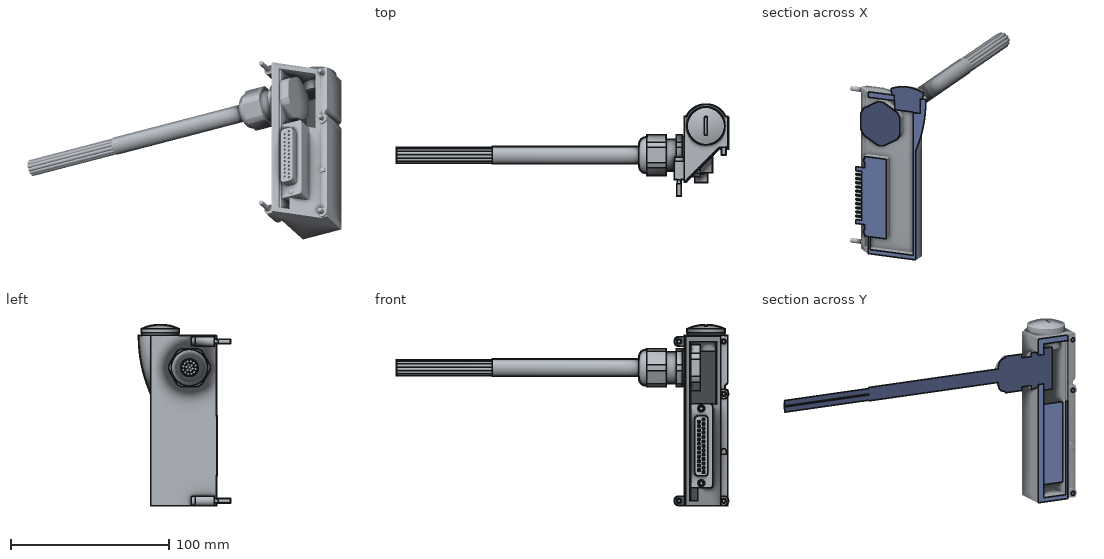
import cadquery as cq
import math


LEFT = 181.5
WIDTH = 27.7
RIGHT = LEFT + WIDTH
HEIGHT = 107.5
BACK = 24.5
FRONT = -17.2
NOSE_WIDTH = 1.0
STRIP_FRONT = 5.0
STRIP_LEFT = LEFT + NOSE_WIDTH + STRIP_FRONT - FRONT
TOP_CHAMFER = 0.6

BULGE_RADIUS = WIDTH / 2
BULGE_X = LEFT + BULGE_RADIUS
BULGE_Y = 18.5
BULGE_BEND_RADIUS = 91.5
BULGE_BEND_ANGLE = 26

SIDE_WALL = 4.2
SLANT_WALL = 1.3
BACK_WALL = 2.0
FLOOR = 3.1
ROOF = 4.0
CAVITY_LEFT = LEFT + SIDE_WALL
CAVITY_RIGHT = 201.6
WINDOW_MARGIN = 0.6
CAVITY_BACK = BACK - BACK_WALL
CAVITY_TOP = HEIGHT - ROOF
FLOOR_SLOT_WIDTH = 5.0

SEAT_RADIUS = 3.04
LOW_SCREW_Z = 3.1
MIDDLE_SCREW_Z = 70.6
HIGH_SCREW_Z = 103.7
SCREW_DIAMETER = 3.0
SCREW_NECK_DIAMETER = 2.5
SCREW_TIP_CHAMFER = 0.31

LUG_X = 178.4
LUG_FRONT = -15.5
LUG_BACK = -3.8
HEAD_DIAMETER = 5.7
HEAD_BACK = -1.3
HEAD_ROUND = 0.6
NECK_LENGTH = 2.5
LUG_SCREW_TIP = -26.0

SEAT_X = 209.5 - SEAT_RADIUS
SEAT_FRONT = STRIP_FRONT - 1.3
SEAT_BACK = BACK - 0.6
STRIP_SCREW_TIP = 0.0

NOTCH_DEPTH = 1.7
NOTCH_BOTTOM = 73.1
NOTCH_TOP = 75.9
KEY_WIDTH = 3.0
KEY_HEIGHT = 3.5
KEY_BOTTOM = 32.5
KEY_LENGTH = 1.0

THREAD_DIAMETER = 20.0
PLUG_BOTTOM = 97.7
PLUG_COLLAR_RADIUS = 11.7
PLUG_RIM_RADIUS = 12.05
PLUG_COLLAR_HEIGHT = 1.7
PLUG_RIM_HEIGHT = 2.5
PLUG_DOME_HEIGHT = 2.7
COIN_SLOT_WIDTH = 1.9
COIN_SLOT_LENGTH = 12.0
COIN_SLOT_DEPTH = 1.0

CABLE_Z = 87.2
DOME_START = 153.0
DOME_RADIUS = 11.5
DOME_ROUND = 4.8
CAP_HEX_START = 158.0
CAP_HEX_END = 170.2
BODY_HEX_START = 176.5
BODY_HEX_END = 180.5
GLAND_HEX_FLATS = 24.0
GLAND_HEX_CORNERS = 26.0
GLAND_NECK_DIAMETER = 20.3
GLAND_WASHER_DIAMETER = 23.7
LOCKNUT_FLATS = 27.2
LOCKNUT_CORNERS = 29.3
LOCKNUT_LENGTH = 6.0
SHEATH_START = 60.4
SHEATH_DIAMETER = 11.1
WIRE_DIAMETER = 2.3
WIRE_RING_STEP = 2.03
WIRES_PER_RING_STEP = 6
WIRE_RING_TURN = 12

FLANGE_WIDTH = 13.8
FLANGE_BOTTOM = 11.3
FLANGE_HEIGHT = 53.0
FLANGE_FRONT = -11.1
FLANGE_BACK = 4.2
FLANGE_ROUND = 1.5
SHELL_WIDTH = 8.4
SHELL_HEIGHT = 38.0
SHELL_ROUND = 2.3
SHELL_FRONT = -17.5
CONNECTOR_X = 192.5
CONNECTOR_Z = FLANGE_BOTTOM + FLANGE_HEIGHT / 2
FLANGE_TOP = FLANGE_BOTTOM + FLANGE_HEIGHT
CONTACT_DIAMETER = 1.6
CONTACT_DEPTH = 4.2
CONTACT_PITCH = 2.77
CONTACT_ROW_GAP = 3.0
LONG_ROW = 13
SHORT_ROW = 12
JACK_SPACING = 47.2
JACK_BASE_DIAMETER = 4.2
JACK_TOP_DIAMETER = 2.5
JACK_HEIGHT = 0.8


def box(x_range, y_range, z_range):
    """Block between two limits along each axis."""
    (x0, x1), (y0, y1), (z0, z1) = x_range, y_range, z_range
    return cq.Workplane("XY").box(x1 - x0, y1 - y0, z1 - z0, centered=False).translate((x0, y0, z0))


def facing_front(y):
    """Sketch plane at depth y that extrudes toward -Y; its local axes are X and Z."""
    return cq.Workplane("XZ", origin=(0, y, 0))


def rod_along_y(x, z, diameter, y_back, y_front):
    return facing_front(y_back).center(x, z).circle(diameter / 2).extrude(y_back - y_front)


def rod_along_x(diameter, x_start, x_end):
    """Cylinder on the cable axis."""
    return cq.Workplane("YZ", origin=(x_start, 0, CABLE_Z)).circle(diameter / 2).extrude(x_end - x_start)


def hex_on_cable(flats, corners, x_start, x_end, turn):
    """Hexagon on the cable axis with its corners turned down to a cylinder."""
    hexagon = (
        cq.Workplane("YZ", origin=(x_start, 0, CABLE_Z))
        .polygon(6, flats / math.cos(math.pi / 6))
        .extrude(x_end - x_start)
        .rotate((0, 0, CABLE_Z), (1, 0, CABLE_Z), turn)
    )
    return hexagon.intersect(rod_along_x(corners, x_start, x_end))



def housing_shell():
    """Five-sided prism with a slanted front and chamfered upper front edges."""
    prism = (
        cq.Workplane("XY")
        .moveTo(LEFT, BACK)
        .lineTo(LEFT, FRONT)
        .lineTo(LEFT + NOSE_WIDTH, FRONT)
        .lineTo(STRIP_LEFT, STRIP_FRONT)
        .lineTo(RIGHT, STRIP_FRONT)
        .lineTo(RIGHT, BACK)
        .close()
        .extrude(HEIGHT)
    )
    slant_middle = ((LEFT + STRIP_LEFT) / 2, (FRONT + STRIP_FRONT) / 2, HEIGHT)
    nose_middle = (LEFT + NOSE_WIDTH / 2, FRONT, HEIGHT)
    for point in (nose_middle, slant_middle):
        prism = prism.edges(cq.selectors.NearestToPointSelector(point)).chamfer(TOP_CHAMFER)
    return prism


def back_bulge():
    """Round back bulge that bends forward into the flat back wall toward its lower end."""
    bend_axis_y = BULGE_RADIUS - BULGE_BEND_RADIUS
    bent = (
        cq.Workplane("XY", origin=(BULGE_X, BULGE_Y, HEIGHT))
        .circle(BULGE_RADIUS)
        .revolve(BULGE_BEND_ANGLE, (2, bend_axis_y), (0, bend_axis_y))
    )
    return bent.intersect(box((LEFT, RIGHT), (CAVITY_BACK, BACK + WIDTH), (0, HEIGHT)))


def slant_y(x, depth=0.0):
    """Y of the slanted face at a given X, or of a plane at some depth behind it."""
    return FRONT + x - LEFT - NOSE_WIDTH + depth * math.sqrt(2)


def cavity():
    """Hollow behind the slanted wall."""
    return (
        cq.Workplane("XY", origin=(0, 0, FLOOR))
        .moveTo(CAVITY_LEFT, CAVITY_BACK)
        .lineTo(CAVITY_LEFT, slant_y(CAVITY_LEFT, SLANT_WALL))
        .lineTo(CAVITY_RIGHT, slant_y(CAVITY_RIGHT, SLANT_WALL))
        .lineTo(CAVITY_RIGHT, CAVITY_BACK)
        .close()
        .extrude(CAVITY_TOP - FLOOR)
    )


def slant_opening(x_left, x_right, z_bottom, z_top):
    """Opening through the slanted wall, with sides parallel to Y."""
    return (
        cq.Workplane("XY", origin=(0, 0, z_bottom))
        .moveTo(x_left, slant_y(x_left))
        .lineTo(x_right, slant_y(x_right))
        .lineTo(x_right, slant_y(x_right, SLANT_WALL))
        .lineTo(x_left, slant_y(x_left, SLANT_WALL))
        .close()
        .extrude(z_top - z_bottom)
    )


def front_openings():
    """Window over the locknut, seat for the connector and a narrow slot below it."""
    left = CAVITY_LEFT - WINDOW_MARGIN
    window = slant_opening(left, CAVITY_RIGHT + WINDOW_MARGIN, FLANGE_TOP, CAVITY_TOP)
    slot = slant_opening(left, left + FLOOR_SLOT_WIDTH, FLOOR, FLANGE_TOP)
    return window.union(slot).union(flange_block(FRONT))


def side_notch():
    """Notch across the right wall, with a 45 degree upper flank."""
    return (
        cq.Workplane("XZ", origin=(0, BACK, 0))
        .moveTo(RIGHT, NOTCH_BOTTOM)
        .lineTo(RIGHT - NOTCH_DEPTH, NOTCH_BOTTOM)
        .lineTo(RIGHT - NOTCH_DEPTH, NOTCH_TOP)
        .lineTo(RIGHT, NOTCH_TOP + NOTCH_DEPTH)
        .close()
        .extrude(BACK - STRIP_FRONT)
    )


def lug_with_screw(z):
    """Left-hand lug with a screw head behind it and a necked screw in front."""
    lug = rod_along_y(LUG_X, z, 2 * SEAT_RADIUS, LUG_BACK, LUG_FRONT)
    web = box((LUG_X, LEFT), (LUG_FRONT, LUG_BACK), (z - SEAT_RADIUS, z + SEAT_RADIUS))
    head = rod_along_y(LUG_X, z, HEAD_DIAMETER, HEAD_BACK, LUG_BACK).faces(">Y").edges().fillet(HEAD_ROUND)
    neck_end = LUG_FRONT - NECK_LENGTH
    neck = rod_along_y(LUG_X, z, SCREW_NECK_DIAMETER, LUG_FRONT, neck_end)
    thread = rod_along_y(LUG_X, z, SCREW_DIAMETER, neck_end, LUG_SCREW_TIP)
    thread = thread.faces("<Y").edges().chamfer(SCREW_TIP_CHAMFER)
    return lug.union(web).union(head).union(neck).union(thread)


def strip_screw(z):
    screw = rod_along_y(SEAT_X, z, SCREW_DIAMETER, STRIP_FRONT, STRIP_SCREW_TIP)
    return screw.faces("<Y").edges().chamfer(SCREW_TIP_CHAMFER)


def strip_seat(z):
    """Round screw seat that stands slightly proud of the screw strip and of the right wall."""
    seat = rod_along_y(SEAT_X, z, 2 * SEAT_RADIUS, SEAT_BACK, SEAT_FRONT)
    return seat.intersect(box((STRIP_LEFT, SEAT_X + SEAT_RADIUS), (SEAT_FRONT, SEAT_BACK), (0, HEIGHT)))


def strip_key():
    """Short key with a round top on the screw strip."""
    arch_z = KEY_BOTTOM + KEY_HEIGHT - KEY_WIDTH / 2
    arch = rod_along_y(SEAT_X, arch_z, KEY_WIDTH, STRIP_FRONT, STRIP_FRONT - KEY_LENGTH)
    foot = box(
        (SEAT_X - KEY_WIDTH / 2, SEAT_X + KEY_WIDTH / 2),
        (STRIP_FRONT - KEY_LENGTH, STRIP_FRONT),
        (KEY_BOTTOM, arch_z),
    )
    return arch.union(foot)


def make_housing():
    plug_hole = (
        cq.Workplane("XY", origin=(BULGE_X, BULGE_Y, PLUG_BOTTOM))
        .circle(THREAD_DIAMETER / 2)
        .extrude(HEIGHT - PLUG_BOTTOM)
    )
    gland_hole = rod_along_x(THREAD_DIAMETER, LEFT, CAVITY_LEFT)
    body = housing_shell().union(back_bulge())
    body = body.cut(cavity()).cut(front_openings()).cut(plug_hole).cut(gland_hole).cut(side_notch())
    for z in (LOW_SCREW_Z, HIGH_SCREW_Z):
        body = body.union(lug_with_screw(z))
    for z in (LOW_SCREW_Z, MIDDLE_SCREW_Z):
        body = body.union(strip_seat(z))
    for z in (LOW_SCREW_Z, MIDDLE_SCREW_Z, HIGH_SCREW_Z):
        body = body.union(strip_screw(z))
    return body.union(strip_key())



def make_plug():
    """Turned plug with a thread, a collar, a wider rim and a domed top with a coin slot."""
    thread_radius = THREAD_DIAMETER / 2
    rim_bottom = HEIGHT + PLUG_COLLAR_HEIGHT
    rim_top = rim_bottom + PLUG_RIM_HEIGHT
    crown = rim_top + PLUG_DOME_HEIGHT
    sphere_radius = (PLUG_RIM_RADIUS**2 + PLUG_DOME_HEIGHT**2) / (2 * PLUG_DOME_HEIGHT)
    half_radius = PLUG_RIM_RADIUS / 2
    half_height = crown - sphere_radius + math.sqrt(sphere_radius**2 - half_radius**2)
    plug = (
        cq.Workplane("XZ")
        .moveTo(0, PLUG_BOTTOM)
        .lineTo(thread_radius, PLUG_BOTTOM)
        .lineTo(thread_radius, HEIGHT)
        .lineTo(PLUG_COLLAR_RADIUS, HEIGHT)
        .lineTo(PLUG_COLLAR_RADIUS, rim_bottom)
        .lineTo(PLUG_RIM_RADIUS, rim_bottom)
        .lineTo(PLUG_RIM_RADIUS, rim_top)
        .threePointArc((half_radius, half_height), (0, crown))
        .close()
        .revolve(360, (0, 0), (0, 1))
    )
    coin_slot = (
        cq.Workplane("XY", origin=(0, 0, crown - COIN_SLOT_DEPTH))
        .slot2D(COIN_SLOT_LENGTH, COIN_SLOT_WIDTH, 90)
        .extrude(COIN_SLOT_DEPTH)
    )
    return plug.cut(coin_slot).translate((BULGE_X, BULGE_Y, 0))



def wire_bundle():
    """One central wire inside rings of 6 and 12; neighbouring wires merge slightly."""
    wires = rod_along_x(WIRE_DIAMETER, 0, SHEATH_START)
    for ring in (1, 2):
        count = ring * WIRES_PER_RING_STEP
        pitch = 360 / count
        radius = ring * WIRE_RING_STEP
        for index in range(count):
            angle = math.radians(WIRE_RING_TURN + index * pitch)
            offset = (0, radius * math.cos(angle), radius * math.sin(angle))
            wires = wires.union(rod_along_x(WIRE_DIAMETER, 0, SHEATH_START).translate(offset))
    return wires


def make_cable_gland():
    locknut_end = CAVITY_LEFT + LOCKNUT_LENGTH
    dome = rod_along_x(2 * DOME_RADIUS, DOME_START, CAP_HEX_START).faces("<X").edges().fillet(DOME_ROUND)
    parts = (
        rod_along_x(SHEATH_DIAMETER, SHEATH_START, DOME_START),
        dome,
        hex_on_cable(GLAND_HEX_FLATS, GLAND_HEX_CORNERS, CAP_HEX_START, CAP_HEX_END, 0),
        rod_along_x(GLAND_NECK_DIAMETER, CAP_HEX_END, BODY_HEX_START),
        hex_on_cable(GLAND_HEX_FLATS, GLAND_HEX_CORNERS, BODY_HEX_START, BODY_HEX_END, 0),
        rod_along_x(GLAND_WASHER_DIAMETER, BODY_HEX_END, LEFT),
        rod_along_x(THREAD_DIAMETER, LEFT, CAVITY_LEFT),
        hex_on_cable(LOCKNUT_FLATS, LOCKNUT_CORNERS, CAVITY_LEFT, locknut_end, 30),
    )
    gland = wire_bundle()
    for part in parts:
        gland = gland.union(part)
    return gland



def flange_block(front):
    """Block of the connector from its back to the given front, with its right corners rounded."""
    block = box(
        (CAVITY_LEFT, CAVITY_LEFT + FLANGE_WIDTH), (front, FLANGE_BACK), (FLANGE_BOTTOM, FLANGE_TOP)
    )
    return block.edges("|Y and >X").fillet(FLANGE_ROUND)


def row_of_contacts(x, count):
    """Contact holes along Z, sunk into the front of the shell."""
    return (
        facing_front(SHELL_FRONT + CONTACT_DEPTH)
        .center(x, CONNECTOR_Z)
        .rarray(2, CONTACT_PITCH, 1, count)
        .circle(CONTACT_DIAMETER / 2)
        .extrude(CONTACT_DEPTH)
    )


def jack_boss(z):
    """Low cone with a flat top."""
    return (
        facing_front(FLANGE_FRONT)
        .center(CONNECTOR_X, z)
        .circle(JACK_BASE_DIAMETER / 2)
        .workplane(offset=JACK_HEIGHT)
        .circle(JACK_TOP_DIAMETER / 2)
        .loft()
    )


def make_connector():
    shell = (
        facing_front(FLANGE_FRONT)
        .center(CONNECTOR_X, CONNECTOR_Z)
        .rect(SHELL_WIDTH, SHELL_HEIGHT)
        .extrude(FLANGE_FRONT - SHELL_FRONT)
        .edges("|Y")
        .fillet(SHELL_ROUND)
    )
    connector = flange_block(FLANGE_FRONT).union(shell)
    connector = connector.cut(row_of_contacts(CONNECTOR_X - CONTACT_ROW_GAP / 2, SHORT_ROW))
    connector = connector.cut(row_of_contacts(CONNECTOR_X + CONTACT_ROW_GAP / 2, LONG_ROW))
    for side in (-1, 1):
        connector = connector.union(jack_boss(CONNECTOR_Z + side * JACK_SPACING / 2))
    return connector


housing = make_housing()
plug = make_plug()
cable_gland = make_cable_gland()
connector = make_connector()

result = cq.Compound.makeCompound([housing.val(), plug.val(), cable_gland.val(), connector.val()])